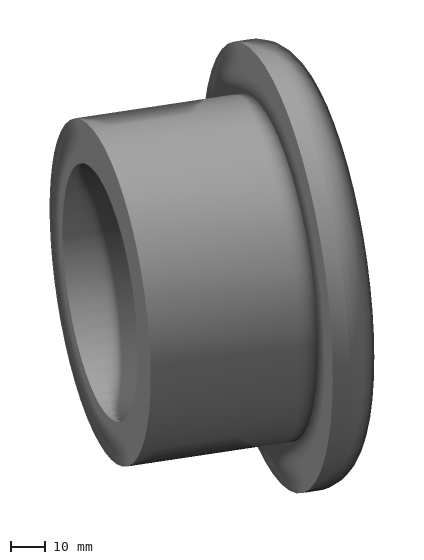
import cadquery as cq

flange_diameter = 131.0
flange_thickness = 15.0
flange_rounding = 10.0
sleeve_diameter = 101.0
sleeve_length = 50.0
bore_diameter = 75.0
total_length = sleeve_length + flange_thickness


def cylinder_along_y(diameter, length, start_y):
    """Solid cylinder on the Y axis, running from start_y toward +Y."""
    start_plane = cq.Plane(origin=(0, start_y, 0), xDir=(1, 0, 0), normal=(0, 1, 0))
    return cq.Workplane(start_plane).circle(diameter / 2).extrude(length)


def make_flange():
    """Disc with its outer +Y rim rounded; its -Y face lies at Y = 0."""
    disc = cylinder_along_y(flange_diameter, flange_thickness, 0)
    return disc.faces(">Y").edges().fillet(flange_rounding)


def make_sleeve():
    """Plain sleeve body reaching from the flange toward -Y."""
    return cylinder_along_y(sleeve_diameter, sleeve_length, -sleeve_length)


def make_bore():
    """Through bore along the full length of the bush."""
    return cylinder_along_y(bore_diameter, total_length, -sleeve_length)


result = make_flange().union(make_sleeve()).cut(make_bore())